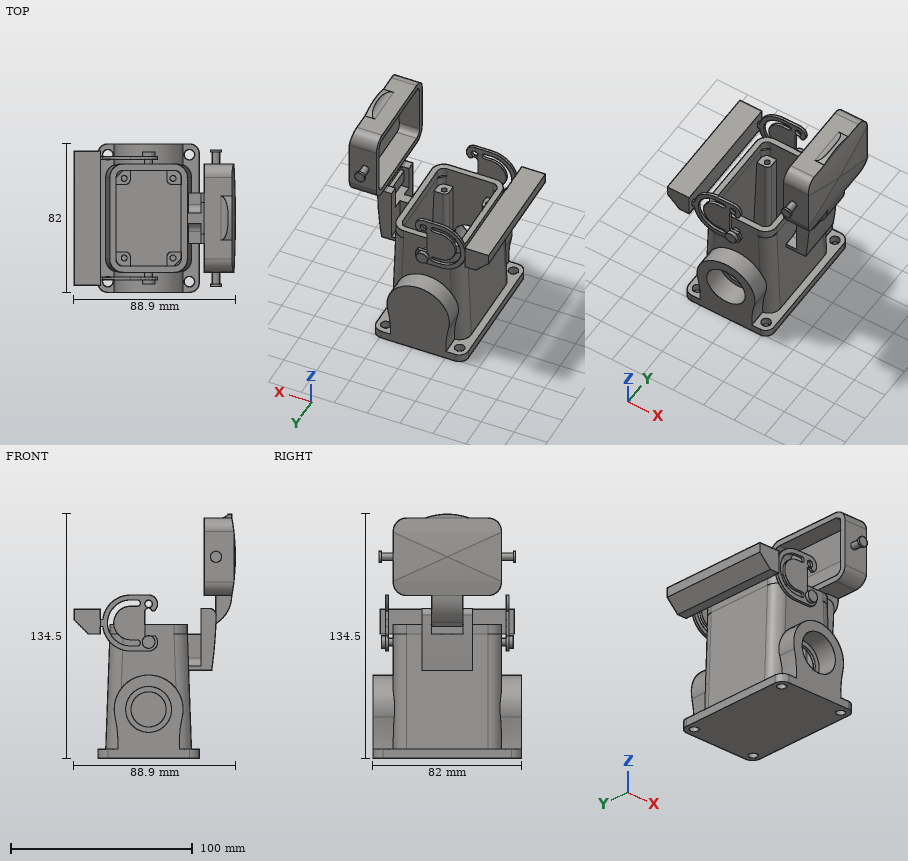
import cadquery as cq
import math


BASE_X = 56.0
BASE_Y = 82.0
BASE_Z = 5.0
BASE_CORNER = 5.5
MOUNT_X = 22.5
MOUNT_Y = 35.0
MOUNT_DIA = 5.7

TOWER_Y = 59.7
TOWER_TOP_X = 42.8
TOWER_FOOT_X = 47.4
TOWER_CORNER = 7.4
TOWER_TOP = 73.7
RIM_START = 68.4
WALL = 3.5

POST_X = 10.1
POST_Y = 18.6
POST_ROUND = 2.7
POST_TOP = 61.9
SCREW_X = 13.5
SCREW_Y = 22.0
SCREW_DIA = 3.2
SCREW_DEPTH = 13.5

ENTRY_Z = 26.9
ENTRY_R = 19.0
ENTRY_FOOT_HALF = 17.0
ENTRY_ARC_DROP = 4.2
BORE_R = 12.6
BORE_DEPTH = 12.9
INNER_BORE_R = 9.7

PIVOT_Z = 64.0
PIN_R = 2.2
PIN_HEAD_R = 3.5
PIN_HEAD_END = 36.3
LEVER_MID_Z = 74.5
LEVER_R = 15.5
LEVER_ARC_X = -10.0
LEVER_INNER_Y = 32.4
LEVER_THICK = 1.6
LEVER_EDGE_X = -2.0
LEVER_FLAT_RISE = 3.4
LATCH_HOLE_R = 2.0
HOOK_TIP = (2.5, 3.9)
HOOK_TIP_END = (1.5, 3.2)
HOOK_NOTCH_TOP = (0, 2.3)
HOOK_NOTCH_DROP = 4.0
SLOT_OUTER_R = 12.6
SLOT_INNER_R = 9.3
SLOT_END_X = -4.6

HANDLE_LEFT = -41.0
HANDLE_RIGHT = -26.6
HANDLE_BOTTOM = 68.4
HANDLE_TOP = 82.2
HANDLE_CHAMFER = 8.0
HANDLE_Y = 74.0
NECK_HEIGHT = 4.0

BRACKET_X = 28.8
BRACKET_Y = 28.0
BRACKET_BOTTOM = 48.5
BRACKET_FLOOR = 2.3
BRACKET_ROOT_X = 20.2
WEB_Y = 5.7
WEB_FILLET = 4.6
ARM_TOP = 82.6
BRACKET_BACK_BOTTOM_X = 34.9
BRACKET_BACK_MID = (36.6, 64.6)
BRACKET_BACK_TOP = (37.3, 78.9)
ARM_ROUND_MID = (35.5, 82.0)
ARM_ROUND_END_X = 32.8
ARM_GAP = 17.5

COVER_FRONT = 30.5
COVER_EDGE = 45.9
COVER_BACK = 47.9
COVER_SIDE_DROP = 0.8
COVER_MID_Z = 111.0
COVER_FLOOR_EDGE = 42.5
COVER_FLOOR_MID = 44.1
COVER_PIN_X = 37.1
COVER_PIN_END = 37.7
COVER_HEAD_R = 3.1
COVER_HEAD_THICK = 1.3
GRIP_HALF_Y = 12.1
GRIP_TOP = 134.5
GRIP_START_X = 39.7
GRIP_SLOPE_MID_X = 42.3
GRIP_SLOPE_MID_RISE = 0.7
GRIP_CREST_X = 43.9
LEG_Y = 17.2
LEG_X = 36.9
LEG_TIP_X = 37.8
LEG_TIP_Z = 74.7
LEG_BACK_MID = (43.6, 81.0)
BAR_X = 31.6
BAR_BACK_X = 35.7
BAR_TOP = 80.0
BAR_BOTTOM = 72.7

CAVITY_Y = TOWER_Y - 2 * WALL
CAVITY_CORNER = TOWER_CORNER - WALL
COVER_HEIGHT = TOWER_TOP_X
COVER_TOP = COVER_MID_Z + COVER_HEIGHT / 2
COVER_BOTTOM = COVER_MID_Z - COVER_HEIGHT / 2


def rounded_rectangle(width, depth, radius):
    return cq.Sketch().rect(width, depth).vertices().fillet(radius)


def box(x0, x1, y0, y1, z0, z1):
    return cq.Workplane("XY").box(x1 - x0, y1 - y0, z1 - z0, centered=False).translate((x0, y0, z0))


def profile_along_y(outline, y0, y1):
    """Extrude a closed XZ outline from y0 to y1."""
    return outline.extrude(-(y1 - y0)).translate((0, y0, 0))


def rod_along_y(x, z, radius, y0, y1):
    return profile_along_y(cq.Workplane("XZ").center(x, z).circle(radius), y0, y1)


def on_both_sides(shape):
    """Join a shape with its mirror image across the XZ plane."""
    return shape.union(shape.mirror("XZ"))


def tower_block(foot_x, top_x, depth, radius):
    """Block with rounded corners, tapered from the base plate to the rim and straight above it."""
    outline = (
        cq.Workplane("XZ")
        .moveTo(-foot_x / 2, BASE_Z)
        .lineTo(foot_x / 2, BASE_Z)
        .lineTo(top_x / 2, RIM_START)
        .lineTo(-top_x / 2, RIM_START)
        .close()
    )
    wedge = profile_along_y(outline, -depth / 2, depth / 2)
    tapered = wedge.edges("not (|X or |Y)").fillet(radius)
    rim = (
        cq.Workplane("XY")
        .workplane(offset=RIM_START)
        .placeSketch(rounded_rectangle(top_x, depth, radius))
        .extrude(TOWER_TOP - RIM_START)
    )
    return tapered.union(rim)


def base_plate():
    return (
        cq.Workplane("XY")
        .rect(BASE_X, BASE_Y)
        .extrude(BASE_Z)
        .edges("|Z")
        .fillet(BASE_CORNER)
        .faces(">Z")
        .workplane()
        .rect(2 * MOUNT_X, 2 * MOUNT_Y, forConstruction=True)
        .vertices()
        .hole(MOUNT_DIA)
    )


def entry_bosses():
    """Round cable entries that narrow through tangent arcs into a straight foot."""
    arc_angle = math.asin(ENTRY_ARC_DROP / ENTRY_R)
    arc_end = (ENTRY_R * math.cos(arc_angle), ENTRY_Z - ENTRY_ARC_DROP)
    diagonal = ENTRY_R * math.sqrt(0.5)
    outline = (
        cq.Workplane("XZ")
        .moveTo(0, ENTRY_Z + ENTRY_R)
        .threePointArc((diagonal, ENTRY_Z + diagonal), arc_end)
        .tangentArcPoint((ENTRY_FOOT_HALF, BASE_Z), relative=False)
        .lineTo(ENTRY_FOOT_HALF, 0)
        .lineTo(0, 0)
        .close()
    )
    half = profile_along_y(outline, -BASE_Y / 2, BASE_Y / 2)
    return half.union(half.mirror("YZ"))


def in_each_quadrant(shape):
    """The shape, given in the +X +Y quadrant, mirrored into all four quadrants."""
    pair = shape.union(shape.mirror("YZ"))
    return on_both_sides(pair)


def corner_posts():
    """Post columns that run past the cavity walls, so that they merge with them."""
    post = box(POST_X, TOWER_FOOT_X / 2, POST_Y, TOWER_Y / 2, 0, POST_TOP)
    return in_each_quadrant(post.edges("|Z and <X and <Y").fillet(POST_ROUND))


def cavity():
    """Open-topped cavity with a post left standing in each corner."""
    room = tower_block(TOWER_FOOT_X - 2 * WALL, TOWER_TOP_X - 2 * WALL, CAVITY_Y, CAVITY_CORNER)
    return room.cut(corner_posts())


def screw_holes():
    hole = cq.Workplane("XY").center(SCREW_X, SCREW_Y).circle(SCREW_DIA / 2).extrude(SCREW_DEPTH)
    return in_each_quadrant(hole.translate((0, 0, POST_TOP - SCREW_DEPTH)))


def entry_bore():
    """Stepped bore through the -Y boss into the cavity."""
    face_y = -BASE_Y / 2
    outer = rod_along_y(0, ENTRY_Z, BORE_R, face_y, face_y + BORE_DEPTH)
    inner = rod_along_y(0, ENTRY_Z, INNER_BORE_R, face_y, 0)
    return outer.union(inner)


def hinge_bracket():
    """Upright with two arms, carried by a floor and a filleted web."""
    half_y = BRACKET_Y / 2
    floor_z = BRACKET_BOTTOM + BRACKET_FLOOR
    upright_outline = (
        cq.Workplane("XZ")
        .moveTo(BRACKET_X, BRACKET_BOTTOM)
        .lineTo(BRACKET_BACK_BOTTOM_X, BRACKET_BOTTOM)
        .threePointArc(BRACKET_BACK_MID, BRACKET_BACK_TOP)
        .threePointArc(ARM_ROUND_MID, (ARM_ROUND_END_X, ARM_TOP))
        .lineTo(BRACKET_X, ARM_TOP)
        .close()
    )
    upright = profile_along_y(upright_outline, -half_y, half_y)
    arm_gap = box(BRACKET_X, BRACKET_BACK_TOP[0], -ARM_GAP / 2, ARM_GAP / 2, RIM_START, ARM_TOP)
    floor = box(BRACKET_ROOT_X, BRACKET_X, -half_y, half_y, BRACKET_BOTTOM, floor_z)
    web_half = WEB_Y / 2
    fillet_half = web_half + WEB_FILLET
    fillet_mid = WEB_FILLET * (1 - math.sqrt(0.5))
    web = (
        cq.Workplane("YZ")
        .moveTo(-fillet_half, floor_z)
        .threePointArc(
            (-web_half - fillet_mid, floor_z + fillet_mid), (-web_half, floor_z + WEB_FILLET)
        )
        .lineTo(-web_half, RIM_START)
        .lineTo(web_half, RIM_START)
        .lineTo(web_half, floor_z + WEB_FILLET)
        .threePointArc((web_half + fillet_mid, floor_z + fillet_mid), (fillet_half, floor_z))
        .close()
        .extrude(BRACKET_X - BRACKET_ROOT_X)
        .translate((BRACKET_ROOT_X, 0, 0))
    )
    return upright.cut(arm_gap).union(floor).union(web)


def lever_slot():
    """C-shaped slot concentric with the back of the lever plate."""
    end_r = (SLOT_OUTER_R - SLOT_INNER_R) / 2
    mid_r = (SLOT_OUTER_R + SLOT_INNER_R) / 2
    end_x = SLOT_END_X - end_r
    z = LEVER_MID_Z
    outline = (
        cq.Workplane("XZ")
        .moveTo(end_x, z + SLOT_OUTER_R)
        .lineTo(LEVER_ARC_X, z + SLOT_OUTER_R)
        .threePointArc((LEVER_ARC_X - SLOT_OUTER_R, z), (LEVER_ARC_X, z - SLOT_OUTER_R))
        .lineTo(end_x, z - SLOT_OUTER_R)
        .threePointArc((SLOT_END_X, z - mid_r), (end_x, z - SLOT_INNER_R))
        .lineTo(LEVER_ARC_X, z - SLOT_INNER_R)
        .threePointArc((LEVER_ARC_X - SLOT_INNER_R, z), (LEVER_ARC_X, z + SLOT_INNER_R))
        .lineTo(end_x, z + SLOT_INNER_R)
        .threePointArc((SLOT_END_X, z + mid_r), (end_x, z + SLOT_OUTER_R))
        .close()
    )
    return profile_along_y(outline, -LEVER_INNER_Y - LEVER_THICK, -LEVER_INNER_Y)


def lever_plate():
    """Side plate: pivot lobe below, hooked latch lobe above, round back."""
    lobe_r = LEVER_R - (LEVER_MID_Z - PIVOT_Z)
    latch_z = 2 * LEVER_MID_Z - PIVOT_Z
    diagonal = lobe_r * math.sqrt(0.5)

    def below_latch(point):
        x, drop = point
        return (x, latch_z - drop)

    flat_x = math.sqrt(lobe_r**2 - LEVER_FLAT_RISE**2)
    outline = (
        cq.Workplane("XZ")
        .moveTo(LEVER_EDGE_X, PIVOT_Z + LEVER_FLAT_RISE)
        .lineTo(flat_x, PIVOT_Z + LEVER_FLAT_RISE)
        .threePointArc((diagonal, PIVOT_Z - diagonal), (0, PIVOT_Z - lobe_r))
        .lineTo(LEVER_ARC_X, PIVOT_Z - lobe_r)
        .threePointArc((LEVER_ARC_X - LEVER_R, LEVER_MID_Z), (LEVER_ARC_X, LEVER_MID_Z + LEVER_R))
        .lineTo(0, LEVER_MID_Z + LEVER_R)
        .threePointArc((lobe_r, latch_z), (diagonal, latch_z - diagonal))
        .threePointArc(below_latch(HOOK_TIP), below_latch(HOOK_TIP_END))
        .threePointArc(below_latch(HOOK_NOTCH_TOP), below_latch((LEVER_EDGE_X, HOOK_NOTCH_DROP)))
        .close()
    )
    plate = profile_along_y(outline, -LEVER_INNER_Y - LEVER_THICK, -LEVER_INNER_Y)
    latch_hole = rod_along_y(0, latch_z, LATCH_HOLE_R, -LEVER_INNER_Y - LEVER_THICK, -LEVER_INNER_Y)
    neck = box(
        HANDLE_RIGHT,
        LEVER_ARC_X - SLOT_OUTER_R,
        -LEVER_INNER_Y - LEVER_THICK,
        -LEVER_INNER_Y,
        LEVER_MID_Z - NECK_HEIGHT / 2,
        LEVER_MID_Z + NECK_HEIGHT / 2,
    )
    return plate.union(neck).cut(latch_hole).cut(lever_slot())


def pivot_pin():
    """Headed pivot pin from inside the -Y wall out through the lever plate."""
    wall_y = -TOWER_Y / 2 + WALL / 2
    head_y = -LEVER_INNER_Y - LEVER_THICK
    shank = rod_along_y(0, PIVOT_Z, PIN_R, head_y, wall_y)
    head = rod_along_y(0, PIVOT_Z, PIN_HEAD_R, -PIN_HEAD_END, head_y)
    return shank.union(head)


def lever_handle():
    return box(
        HANDLE_LEFT, HANDLE_RIGHT, -HANDLE_Y / 2, HANDLE_Y / 2, HANDLE_BOTTOM, HANDLE_TOP
    ).edges("|Y and <X and <Z").chamfer(HANDLE_CHAMFER)


def make_housing():
    tower = tower_block(TOWER_FOOT_X, TOWER_TOP_X, TOWER_Y, TOWER_CORNER)
    shell = base_plate().union(entry_bosses()).union(tower).union(hinge_bracket())
    shell = shell.cut(cavity()).cut(screw_holes()).cut(entry_bore())
    lever_sides = on_both_sides(lever_plate().union(pivot_pin()))
    return shell.union(lever_sides).union(lever_handle())


def cover_shell():
    """Rounded cap whose back is domed along Z and, more gently, along Y."""
    block = (
        cq.Workplane("YZ")
        .placeSketch(rounded_rectangle(TOWER_Y, COVER_HEIGHT, TOWER_CORNER))
        .extrude(COVER_BACK - COVER_FRONT)
        .translate((COVER_FRONT, 0, COVER_MID_Z))
    )
    dome_z = profile_along_y(
        cq.Workplane("XZ")
        .moveTo(COVER_FRONT, COVER_BOTTOM)
        .lineTo(COVER_EDGE, COVER_BOTTOM)
        .threePointArc((COVER_BACK, COVER_MID_Z), (COVER_EDGE, COVER_TOP))
        .lineTo(COVER_FRONT, COVER_TOP)
        .close(),
        -TOWER_Y / 2,
        TOWER_Y / 2,
    )
    side_x = COVER_BACK - COVER_SIDE_DROP
    dome_y = (
        cq.Workplane("XY")
        .moveTo(COVER_FRONT, -TOWER_Y / 2)
        .lineTo(side_x, -TOWER_Y / 2)
        .threePointArc((COVER_BACK, 0), (side_x, TOWER_Y / 2))
        .lineTo(COVER_FRONT, TOWER_Y / 2)
        .close()
        .extrude(COVER_HEIGHT)
        .translate((0, 0, COVER_BOTTOM))
    )
    return block.intersect(dome_z).intersect(dome_y)


def cover_recess():
    """Recess open to -X, its floor deepest along the middle."""
    half_z = COVER_HEIGHT / 2 - WALL
    pocket = (
        cq.Workplane("YZ")
        .placeSketch(rounded_rectangle(CAVITY_Y, 2 * half_z, CAVITY_CORNER))
        .extrude(COVER_FLOOR_MID - COVER_FRONT)
        .translate((COVER_FRONT, 0, COVER_MID_Z))
    )
    floor_shape = profile_along_y(
        cq.Workplane("XZ")
        .moveTo(COVER_FRONT, COVER_MID_Z - half_z)
        .lineTo(COVER_FLOOR_EDGE, COVER_MID_Z - half_z)
        .lineTo(COVER_FLOOR_MID, COVER_MID_Z)
        .lineTo(COVER_FLOOR_EDGE, COVER_MID_Z + half_z)
        .lineTo(COVER_FRONT, COVER_MID_Z + half_z)
        .close(),
        -CAVITY_Y / 2,
        CAVITY_Y / 2,
    )
    return pocket.intersect(floor_shape)


def grip_lip():
    """Finger lip: a low arch across Y with a hollow front slope."""
    root_z = COVER_TOP - WALL / 2
    arch = (
        cq.Workplane("YZ")
        .moveTo(-GRIP_HALF_Y, root_z)
        .lineTo(-GRIP_HALF_Y, COVER_TOP)
        .threePointArc((0, GRIP_TOP), (GRIP_HALF_Y, COVER_TOP))
        .lineTo(GRIP_HALF_Y, root_z)
        .close()
        .extrude(COVER_EDGE - GRIP_START_X)
        .translate((GRIP_START_X, 0, 0))
    )
    slope = profile_along_y(
        cq.Workplane("XZ")
        .moveTo(GRIP_START_X, root_z)
        .lineTo(GRIP_START_X, COVER_TOP)
        .threePointArc((GRIP_SLOPE_MID_X, COVER_TOP + GRIP_SLOPE_MID_RISE), (GRIP_CREST_X, GRIP_TOP))
        .lineTo(COVER_EDGE, GRIP_TOP)
        .lineTo(COVER_EDGE, root_z)
        .close(),
        -GRIP_HALF_Y,
        GRIP_HALF_Y,
    )
    return arch.intersect(slope)


def cover_pin():
    head_y = -COVER_PIN_END + COVER_HEAD_THICK
    wall_y = -TOWER_Y / 2 + WALL / 2
    shank = rod_along_y(COVER_PIN_X, COVER_MID_Z, PIN_R, head_y, wall_y)
    head = rod_along_y(COVER_PIN_X, COVER_MID_Z, COVER_HEAD_R, -COVER_PIN_END, head_y)
    return shank.union(head)


def hinge_leg():
    """Curved leg ending in a bar that sits between the bracket arms."""
    outline = (
        cq.Workplane("XZ")
        .moveTo(LEG_X, COVER_BOTTOM + WALL / 2)
        .lineTo(LEG_X, BAR_TOP)
        .lineTo(BAR_X, BAR_TOP)
        .lineTo(BAR_X, BAR_BOTTOM)
        .lineTo(BAR_BACK_X, BAR_BOTTOM)
        .lineTo(LEG_TIP_X, LEG_TIP_Z)
        .threePointArc(LEG_BACK_MID, (COVER_EDGE, COVER_BOTTOM))
        .lineTo(COVER_EDGE, COVER_BOTTOM + WALL / 2)
        .close()
    )
    return profile_along_y(outline, -LEG_Y / 2, LEG_Y / 2)


def make_cover():
    cover = cover_shell().cut(cover_recess())
    return cover.union(grip_lip()).union(on_both_sides(cover_pin())).union(hinge_leg())


housing = make_housing()
cover = make_cover()
result = cq.Compound.makeCompound([housing.val(), cover.val()])